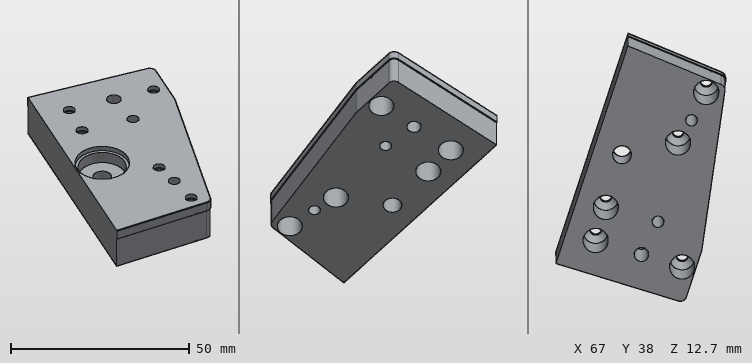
import cadquery as cq

LENGTH = 66.95
DEPTH = 38.0
HEIGHT = 12.65

SLOPE_START_X = 16.3
RIGHT_BACK_X = 64.0
RIGHT_BACK_Y = 29.85
CORNER_RADIUS = 2.0

LIP_HEIGHT = 3.15
LIP_OVERHANG = 0.2

FRONT_TRIM = 3.35

PLAIN_HOLE_DIAMETER = 3.3
PLAIN_HOLE_CENTERS = [(20.5, 23.6), (51.5, 23.6)]
DOWEL_HOLE_DIAMETER = 4.0
DOWEL_HOLE_CENTER = (10.0, 22.0)

SCREW_HOLE_DIAMETER = 3.3
SCREW_BORE_DIAMETER = 7.0
SCREW_NECK_LENGTH = 1.35
SCREW_HOLE_CENTERS = [(10.0, 34.0), (10.0, 8.6), (20.0, 8.4), (44.05, 21.95), (60.45, 25.05)]

POCKET_CENTER = (36.15, 8.0)
POCKET_DEPTH = 5.0
POCKET_HOLE_CENTER = (36.0, 8.05)
POCKET_HOLE_DIAMETER = 5.2

RING_OUTER_DIAMETER = 15.3
RING_INNER_DIAMETER = 13.5
RING_RECESS = 1.5
RING_HEIGHT = POCKET_DEPTH - RING_RECESS


def outline_prism(height):
    """Rounded lip outline, run past the front along the side lines and extruded up from Z = 0."""
    lean = (LENGTH - RIGHT_BACK_X) / RIGHT_BACK_Y
    return (
        cq.Workplane("XY")
        .moveTo(0, -FRONT_TRIM)
        .lineTo(LENGTH + lean * FRONT_TRIM, -FRONT_TRIM)
        .lineTo(RIGHT_BACK_X, RIGHT_BACK_Y)
        .lineTo(SLOPE_START_X, DEPTH)
        .lineTo(0, DEPTH)
        .close()
        .extrude(height)
        .edges(cq.selectors.NearestToPointSelector((0, DEPTH, height / 2)))
        .fillet(CORNER_RADIUS)
        .edges(cq.selectors.NearestToPointSelector((RIGHT_BACK_X, RIGHT_BACK_Y, height / 2)))
        .fillet(CORNER_RADIUS)
    )


def make_blank():
    """Lower block and bevelled lip as one solid, trimmed to a flat front."""
    lip = outline_prism(LIP_HEIGHT).faces("<Z or >Z").edges().chamfer(LIP_OVERHANG)
    lip = lip.translate((0, 0, HEIGHT - LIP_HEIGHT))
    lower = lip.faces("<Z").wires().toPending().workplane(origin=(0, 0, HEIGHT - LIP_HEIGHT))
    lower = lower.extrude(HEIGHT - LIP_HEIGHT, combine=False)
    front = cq.Workplane("XY").box(2 * LENGTH, FRONT_TRIM, HEIGHT, centered=(True, False, False))
    front = front.translate((LENGTH / 2, -FRONT_TRIM, 0))
    return lip.union(lower).cut(front)


def through_holes(centers, diameter):
    return cq.Workplane("XY").pushPoints(centers).circle(diameter / 2).extrude(HEIGHT)


def screw_hole(center):
    """Cutter for one screw hole: neck at the top, cone, then the wide bore down to the underside."""
    neck_radius = SCREW_HOLE_DIAMETER / 2
    bore_radius = SCREW_BORE_DIAMETER / 2
    cone_top = HEIGHT - SCREW_NECK_LENGTH
    cone_bottom = cone_top - (bore_radius - neck_radius)
    return (
        cq.Workplane("XZ")
        .polyline([
            (0, 0),
            (bore_radius, 0),
            (bore_radius, cone_bottom),
            (neck_radius, cone_top),
            (neck_radius, HEIGHT),
            (0, HEIGHT),
        ])
        .close()
        .revolve(360, (0, 0, 0), (0, 1, 0))
        .translate((*center, 0))
    )


def ring_pocket():
    floor = cq.Workplane("XY").workplane(offset=HEIGHT - POCKET_DEPTH)
    return floor.center(*POCKET_CENTER).circle(RING_OUTER_DIAMETER / 2).extrude(POCKET_DEPTH)


def make_block():
    block = make_blank()
    block = block.cut(through_holes(PLAIN_HOLE_CENTERS, PLAIN_HOLE_DIAMETER))
    block = block.cut(through_holes([DOWEL_HOLE_CENTER], DOWEL_HOLE_DIAMETER))
    for center in SCREW_HOLE_CENTERS:
        block = block.cut(screw_hole(center))
    block = block.cut(ring_pocket())
    return block.cut(through_holes([POCKET_HOLE_CENTER], POCKET_HOLE_DIAMETER))


def make_ring():
    """Ring resting on the pocket floor."""
    return (
        cq.Workplane("XY")
        .workplane(offset=HEIGHT - POCKET_DEPTH)
        .center(*POCKET_CENTER)
        .circle(RING_OUTER_DIAMETER / 2)
        .circle(RING_INNER_DIAMETER / 2)
        .extrude(RING_HEIGHT)
    )


block = make_block().solids()
ring = make_ring()
result = cq.Compound.makeCompound([block.val(), ring.val()])